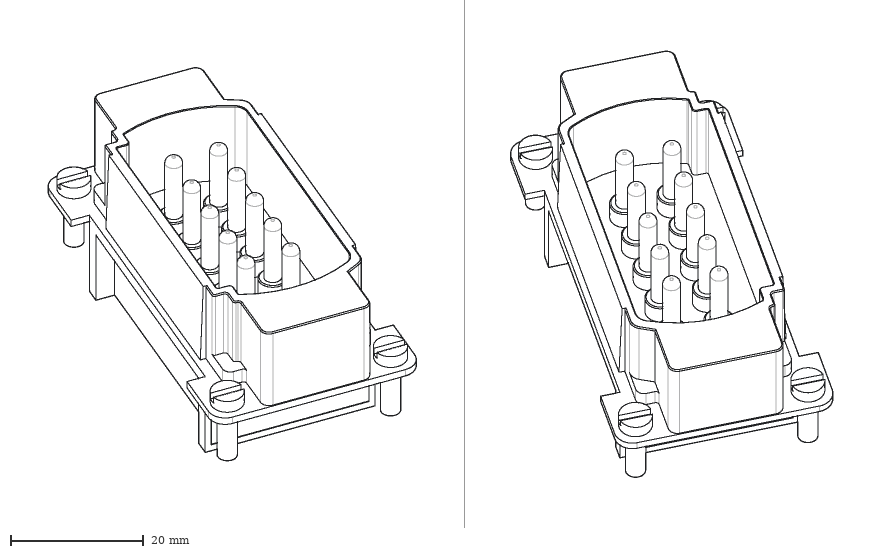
import cadquery as cq
import math

FLANGE_LENGTH = 64.4
FLANGE_WIDTH = 34.0
FLANGE_THICK = 1.2
FLANGE_CORNER_RADIUS = 2.8
WAIST_LENGTH = 43.0
WAIST_WIDTH = 28.0

BLOCK_BOTTOM = -14.55
SIDE_RECESS_LENGTH = 38.1
SIDE_RECESS_DEPTH = 3.1
SIDE_RECESS_TOP = -2.05
END_RECESS_WIDTH = 26.0
END_RECESS_DEPTH = 0.1
END_RECESS_BOTTOM = -13.4

SHROUD_HEIGHT = 13.9
SHROUD_LENGTH = 64.0
END_WIDTH = 17.9
END_CORNER_RADIUS = 1.4
SHOULDER_X = 23.05
MIDDLE_X = 20.2
MIDDLE_WIDTH = 24.3
REAR_CORNER_X = 21.4
REAR_CORNER_FILLET = 1.95
KEY_OUTER_Y = -9.9
KEY_SLANT = 0.25
KEY_SHOULDER_FILLET = 0.45
KEY_CORNER_FILLET = 0.5
KEY_FOOT_FILLET = 0.4
RIM_CHAMFER = 0.2

PANEL_LENGTH = 35.05
PANEL_BASE_WIDTH = 26.1
PANEL_RIM_WIDTH = 25.1

STEP_LENGTH = 50.0
STEP_WIDTH = MIDDLE_WIDTH
STEP_HEIGHT = 2.45
STEP_CORNER_RADIUS = 1.3
STEP_FLARE = 0.5

CAVITY_FLOOR = -0.3
CAVITY_HALF_WIDTH = 10.8
CAVITY_END_X = 23.05
CAVITY_END_RADIUS = 21.3
CAVITY_KEY_X = 18.75
CAVITY_KEY_Y = -8.45
CAVITY_REAR_FILLET = 2.1
CAVITY_KEY_FILLET = 0.65
CAVITY_CORNER_FILLET = 0.3
CAVITY_CHAMFER = 0.1

PIN_COLUMNS = 5
PIN_PITCH_X = 6.7
PIN_PITCH_Y = 7.4
PIN_RADIUS = 1.35
PIN_TOP = 13.65
PIN_TIP_FILLET = 1.1
COLLAR_RADIUS = 2.25
COLLAR_TOP = 2.8
COLLAR_CHAMFER = 0.2

SCREW_SPACING_X = 56.95
SCREW_SPACING_Y = 26.9
SCREW_HEAD_RADIUS = 2.6
SCREW_HEAD_HEIGHT = 2.05
SCREW_SHANK_RADIUS = 1.55
SCREW_BOTTOM = -10.1
SCREW_SLOT_WIDTH = 1.1
SCREW_SLOT_DEPTH = 1.1


def box_between(length, width, z_low, z_high):
    """Box centred on the Z axis between two heights."""
    base = cq.Workplane("XY").workplane(offset=z_low)
    return base.rect(length, width).extrude(z_high - z_low)


def post_between(radius, z_low, z_high):
    """Upright cylinder on the Z axis between two heights."""
    return cq.Workplane("XY").workplane(offset=z_low).circle(radius).extrude(z_high - z_low)


def fillet_pair(body, x, y, radius):
    """Round the upright edges standing at (x, y) and (-x, y)."""
    reach = 0.05
    for side in (-1, 1):
        low = (side * x - reach, y - reach, CAVITY_FLOOR - reach)
        high = (side * x + reach, y + reach, SHROUD_HEIGHT + reach)
        body = body.edges(cq.selectors.BoxSelector(low, high, boundingbox=True)).edges("|Z").fillet(radius)
    return body


def make_flange():
    plate = box_between(FLANGE_LENGTH, FLANGE_WIDTH, -FLANGE_THICK, 0)
    plate = plate.edges("|Z").fillet(FLANGE_CORNER_RADIUS)
    notch_width = (FLANGE_WIDTH - WAIST_WIDTH) / 2
    for side in (-1, 1):
        notch = box_between(WAIST_LENGTH, notch_width, -FLANGE_THICK, 0)
        plate = plate.cut(notch.translate((0, side * (WAIST_WIDTH + notch_width) / 2, 0)))
    return plate


def make_block():
    block = box_between(WAIST_LENGTH, WAIST_WIDTH, BLOCK_BOTTOM, 0)
    side_recess = box_between(SIDE_RECESS_LENGTH, SIDE_RECESS_DEPTH, BLOCK_BOTTOM, SIDE_RECESS_TOP)
    end_recess = box_between(END_RECESS_DEPTH, END_RECESS_WIDTH, END_RECESS_BOTTOM, -FLANGE_THICK)
    for side in (-1, 1):
        block = block.cut(side_recess.translate((0, side * (WAIST_WIDTH - SIDE_RECESS_DEPTH) / 2, 0)))
        block = block.cut(end_recess.translate((side * (WAIST_LENGTH - END_RECESS_DEPTH) / 2, 0, 0)))
    return block


def make_steps():
    """Low pads in the shroud corners, flared where they run into the end boxes."""
    pads = box_between(STEP_LENGTH, STEP_WIDTH, 0, STEP_HEIGHT).edges("|Z").fillet(STEP_CORNER_RADIUS)
    x = STEP_LENGTH / 2
    y = END_WIDTH / 2
    flare = (
        cq.Workplane("XY")
        .moveTo(x, y + STEP_FLARE)
        .radiusArc((x + STEP_FLARE, y), -STEP_FLARE)
        .lineTo(x, y)
        .close()
        .extrude(STEP_HEIGHT)
    )
    flares = flare.union(flare.mirror("YZ"))
    return pads.union(flares).union(flares.mirror("XZ"))


def make_shroud_body():
    """Outline with curved shoulders at the rear and stepped keying corners at the front."""
    end_x = SHROUD_LENGTH / 2
    end_y = END_WIDTH / 2
    mid_y = MIDDLE_WIDTH / 2
    body = (
        cq.Workplane("XY")
        .moveTo(-end_x, -end_y)
        .lineTo(-SHOULDER_X, -end_y)
        .lineTo(-SHOULDER_X + KEY_SLANT, KEY_OUTER_Y)
        .lineTo(-MIDDLE_X, KEY_OUTER_Y)
        .lineTo(-MIDDLE_X, -mid_y)
        .lineTo(MIDDLE_X, -mid_y)
        .lineTo(MIDDLE_X, KEY_OUTER_Y)
        .lineTo(SHOULDER_X - KEY_SLANT, KEY_OUTER_Y)
        .lineTo(SHOULDER_X, -end_y)
        .lineTo(end_x, -end_y)
        .lineTo(end_x, end_y)
        .lineTo(SHOULDER_X, end_y)
        .lineTo(REAR_CORNER_X, mid_y)
        .lineTo(-REAR_CORNER_X, mid_y)
        .lineTo(-SHOULDER_X, end_y)
        .lineTo(-end_x, end_y)
        .close()
        .extrude(SHROUD_HEIGHT)
    )
    for y in (-end_y, end_y):
        body = fillet_pair(body, end_x, y, END_CORNER_RADIUS)
    body = fillet_pair(body, SHOULDER_X, -end_y, KEY_SHOULDER_FILLET)
    body = fillet_pair(body, SHOULDER_X - KEY_SLANT, KEY_OUTER_Y, KEY_SHOULDER_FILLET)
    body = fillet_pair(body, MIDDLE_X, KEY_OUTER_Y, KEY_CORNER_FILLET)
    body = fillet_pair(body, MIDDLE_X, -mid_y, KEY_FOOT_FILLET)
    body = fillet_pair(body, REAR_CORNER_X, mid_y, REAR_CORNER_FILLET)
    return body.faces(">Z").chamfer(RIM_CHAMFER)


def make_panels():
    base = PANEL_BASE_WIDTH / 2
    rim = PANEL_RIM_WIDTH / 2
    profile = [(-base, 0), (base, 0), (rim, SHROUD_HEIGHT), (-rim, SHROUD_HEIGHT)]
    return cq.Workplane("YZ").polyline(profile).close().extrude(PANEL_LENGTH / 2, both=True)


def cavity_end_x(y):
    """X of the bulging cavity end at a given Y."""
    return CAVITY_END_X - CAVITY_END_RADIUS + math.sqrt(CAVITY_END_RADIUS**2 - y**2)


def make_cavity():
    """Space inside the shroud: bulging ends, keyed corners at the front."""
    rear_y = CAVITY_HALF_WIDTH
    rear_x = cavity_end_x(rear_y)
    foot_x = cavity_end_x(CAVITY_KEY_Y)
    cavity = (
        cq.Workplane("XY")
        .workplane(offset=CAVITY_FLOOR)
        .moveTo(-rear_x, rear_y)
        .lineTo(rear_x, rear_y)
        .threePointArc((CAVITY_END_X, 0), (foot_x, CAVITY_KEY_Y))
        .lineTo(CAVITY_KEY_X, CAVITY_KEY_Y)
        .lineTo(CAVITY_KEY_X, -CAVITY_HALF_WIDTH)
        .lineTo(-CAVITY_KEY_X, -CAVITY_HALF_WIDTH)
        .lineTo(-CAVITY_KEY_X, CAVITY_KEY_Y)
        .lineTo(-foot_x, CAVITY_KEY_Y)
        .threePointArc((-CAVITY_END_X, 0), (-rear_x, rear_y))
        .close()
        .extrude(SHROUD_HEIGHT - CAVITY_CHAMFER - CAVITY_FLOOR)
    )
    cavity = fillet_pair(cavity, rear_x, rear_y, CAVITY_REAR_FILLET)
    cavity = fillet_pair(cavity, foot_x, CAVITY_KEY_Y, CAVITY_CORNER_FILLET)
    cavity = fillet_pair(cavity, CAVITY_KEY_X, CAVITY_KEY_Y, CAVITY_KEY_FILLET)
    cavity = fillet_pair(cavity, CAVITY_KEY_X, -CAVITY_HALF_WIDTH, CAVITY_CORNER_FILLET)
    return cavity.faces(">Z").wires().toPending().workplane().extrude(CAVITY_CHAMFER, taper=-45)


def make_contact():
    collar = post_between(COLLAR_RADIUS, CAVITY_FLOOR, COLLAR_TOP).faces(">Z").chamfer(COLLAR_CHAMFER)
    pin = post_between(PIN_RADIUS, CAVITY_FLOOR, PIN_TOP).faces(">Z").edges().fillet(PIN_TIP_FILLET)
    return collar.union(pin)


def make_screw():
    head = post_between(SCREW_HEAD_RADIUS, 0, SCREW_HEAD_HEIGHT)
    slot_floor = SCREW_HEAD_HEIGHT - SCREW_SLOT_DEPTH
    slot = box_between(SCREW_SLOT_WIDTH, 2 * SCREW_HEAD_RADIUS, slot_floor, SCREW_HEAD_HEIGHT)
    return head.cut(slot).union(post_between(SCREW_SHANK_RADIUS, SCREW_BOTTOM, 0))


result = make_flange().union(make_block())
result = result.union(make_steps()).union(make_shroud_body()).union(make_panels())
result = result.cut(make_cavity())

contact = make_contact()
for column in range(PIN_COLUMNS):
    for side in (-1, 1):
        x = (column - (PIN_COLUMNS - 1) / 2) * PIN_PITCH_X
        result = result.union(contact.translate((x, side * PIN_PITCH_Y / 2, 0)))

screw = make_screw()
for side_x in (-1, 1):
    for side_y in (-1, 1):
        result = result.union(screw.translate((side_x * SCREW_SPACING_X / 2, side_y * SCREW_SPACING_Y / 2, 0)))